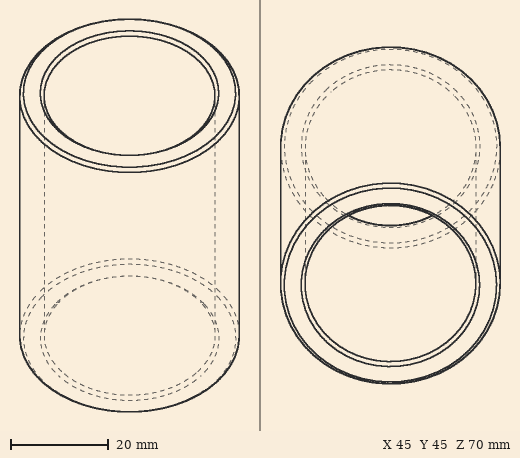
import cadquery as cq

length = 70.0
outer_diameter = 45.0
bore_diameter = 35.0
rim_chamfer = 0.8

sleeve = (
    cq.Workplane("XY")
    .circle(outer_diameter / 2)
    .circle(bore_diameter / 2)
    .extrude(length)
)

result = sleeve.faces("<Z or >Z").edges().chamfer(rim_chamfer)